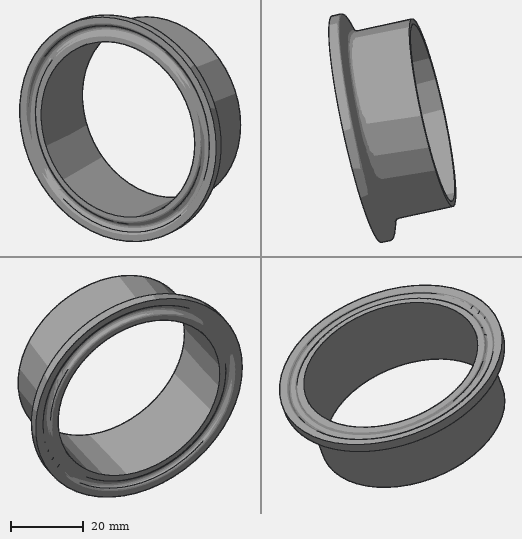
import cadquery as cq
import math

flange_radius = 64 / 2
tube_radius = 53.0 / 2
bore_radius = 50.0 / 2
length = 21.5

taper_angle = 20
taper_slope = math.tan(math.radians(taper_angle))
rim_corner_height = 2.9
rim_round = 0.8
neck_round = 1.85

groove_radius = 28.3
groove_depth = 1.35
groove_section_radius = 1.2
groove_lip_round = 0.8


def edges_within(radius, height):
    """Select the circular edges at one height along Y, up to a given radius."""
    margin = 0.005
    return cq.selectors.BoxSelector(
        (-radius - margin, height - margin, -radius - margin),
        (radius + margin, height + margin, radius + margin),
        boundingbox=True,
    )


def make_ferrule():
    """Revolve the tube and tapered flange, then round the neck and rim."""
    neck_corner_height = rim_corner_height + (flange_radius - tube_radius) * taper_slope
    profile = (
        cq.Workplane("XY")
        .moveTo(bore_radius, 0)
        .lineTo(flange_radius, 0)
        .lineTo(flange_radius, rim_corner_height)
        .lineTo(tube_radius, neck_corner_height)
        .lineTo(tube_radius, length)
        .lineTo(bore_radius, length)
        .close()
    )
    body = profile.revolve(360, (0, 0, 0), (0, 1, 0))
    body = body.edges(edges_within(tube_radius, neck_corner_height)).fillet(neck_round)
    return body.edges(edges_within(flange_radius, rim_corner_height)).fillet(rim_round)


def cut_gasket_groove(body):
    """Cut a round-bottomed ring groove and round both of its lips."""
    center_height = groove_depth - groove_section_radius
    half_width = math.sqrt(groove_section_radius**2 - center_height**2)
    groove = (
        cq.Workplane("XY")
        .center(groove_radius, center_height)
        .circle(groove_section_radius)
        .revolve(360, (-groove_radius, 0, 0), (-groove_radius, 1, 0))
    )
    body = body.cut(groove)
    lips = edges_within(groove_radius + half_width, 0) - edges_within(bore_radius, 0)
    return body.edges(lips).fillet(groove_lip_round)


result = cut_gasket_groove(make_ferrule())